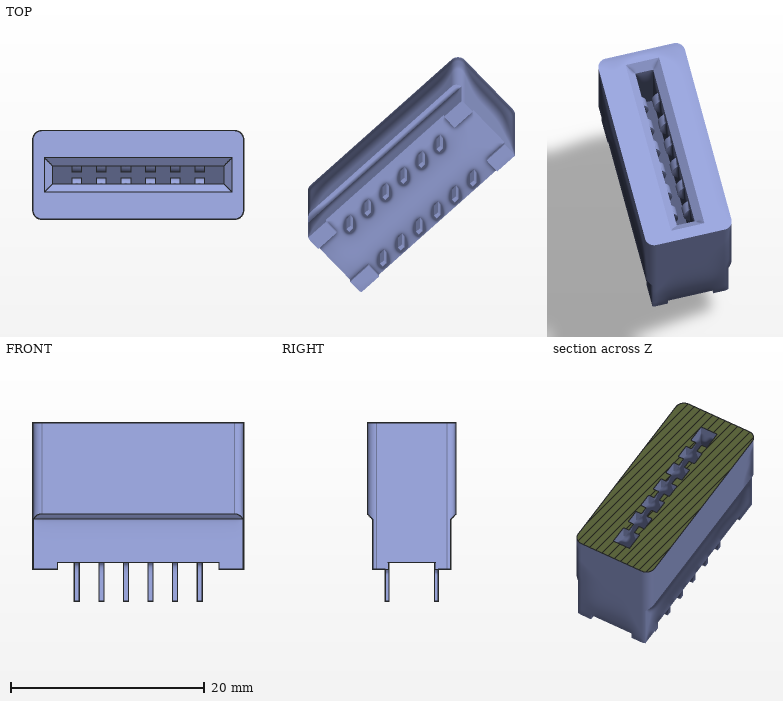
import cadquery as cq
import math

HOUSING_LENGTH = 21.84
HOUSING_WIDTH = 9.2
HOUSING_HEIGHT = 15.2
CORNER_RADIUS = 0.97

BASE_WIDTH = 8.09
BASE_HEIGHT = 5.2
STEP = (HOUSING_WIDTH - BASE_WIDTH) / 2

FOOT_HEIGHT = 0.7
FOOT_GAP_X = 16.7
FOOT_GAP_Y = 4.84

SLOT_LENGTH = 17.76
SLOT_WIDTH = 1.9
SLOT_DEPTH = 8.5
MOUTH_FLARE = 0.83

CONTACT_COUNT = 6
CONTACT_PITCH = 2.54
CONTACT_WIDTH = 1.0
CONTACT_GAP = 0.6
CONTACT_RADIUS = 1.85
CONTACT_DEPTH = 3.65

PIN_ROW_SPACING = 5.1
PIN_LENGTH = 3.3
PIN_WIDTH = 0.54
PIN_THICKNESS = 0.4
PIN_EMBED = 1.0

ROW_SIDES = (-1, 1)
CONTACT_POSITIONS = [(i - (CONTACT_COUNT - 1) / 2) * CONTACT_PITCH for i in range(CONTACT_COUNT)]


def block(length, width, bottom, top):
    """Box centred on the Z axis between two heights."""
    return cq.Workplane("XY").workplane(offset=bottom).rect(length, width).extrude(top - bottom)


def stepped_profile():
    """End profile of the housing, extruded along its length."""
    half_top = HOUSING_WIDTH / 2
    half_base = BASE_WIDTH / 2
    return (
        cq.Workplane("YZ")
        .moveTo(-half_base, 0)
        .lineTo(half_base, 0)
        .lineTo(half_base, BASE_HEIGHT)
        .lineTo(half_top, BASE_HEIGHT + STEP)
        .lineTo(half_top, HOUSING_HEIGHT)
        .lineTo(-half_top, HOUSING_HEIGHT)
        .lineTo(-half_top, BASE_HEIGHT + STEP)
        .lineTo(-half_base, BASE_HEIGHT)
        .close()
        .extrude(HOUSING_LENGTH / 2, both=True)
    )


def housing():
    """Rounded block trimmed to the stepped end profile, with corner feet."""
    rounded = block(HOUSING_LENGTH, HOUSING_WIDTH, 0, HOUSING_HEIGHT).edges("|Z").fillet(CORNER_RADIUS)
    body = rounded.intersect(stepped_profile())
    body = body.cut(block(FOOT_GAP_X, HOUSING_WIDTH, 0, FOOT_HEIGHT))
    return body.cut(block(HOUSING_LENGTH, FOOT_GAP_Y, 0, FOOT_HEIGHT))


def card_slot():
    """Straight slot plus the flared mouth at the top face."""
    straight = block(SLOT_LENGTH, SLOT_WIDTH, HOUSING_HEIGHT - SLOT_DEPTH, HOUSING_HEIGHT)
    mouth = (
        cq.Workplane("XY")
        .workplane(offset=HOUSING_HEIGHT - MOUTH_FLARE)
        .rect(SLOT_LENGTH, SLOT_WIDTH)
        .workplane(offset=MOUTH_FLARE)
        .rect(SLOT_LENGTH + 2 * MOUTH_FLARE, SLOT_WIDTH + 2 * MOUTH_FLARE)
        .loft(ruled=True)
    )
    return straight.union(mouth)


def contact(x, side):
    """Convex contact bulging out of one slot wall, its crest CONTACT_DEPTH below the top face."""
    wall = side * SLOT_WIDTH / 2
    crest = side * CONTACT_GAP / 2
    bulge = (SLOT_WIDTH - CONTACT_GAP) / 2
    half_chord = math.sqrt(bulge * (2 * CONTACT_RADIUS - bulge))
    crest_height = HOUSING_HEIGHT - CONTACT_DEPTH
    return (
        cq.Workplane("YZ")
        .workplane(offset=x - CONTACT_WIDTH / 2)
        .moveTo(wall, crest_height - half_chord)
        .threePointArc((crest, crest_height), (wall, crest_height + half_chord))
        .close()
        .extrude(CONTACT_WIDTH)
    )


def pin(x, side):
    """Rectangular solder pin below the housing, rooted in its underside."""
    return (
        block(PIN_WIDTH, PIN_THICKNESS, -PIN_LENGTH, FOOT_HEIGHT + PIN_EMBED)
        .translate((x, side * PIN_ROW_SPACING / 2, 0))
    )


result = housing().cut(card_slot())
for contact_x in CONTACT_POSITIONS:
    for row_side in ROW_SIDES:
        result = result.union(contact(contact_x, row_side))
        result = result.union(pin(contact_x, row_side))